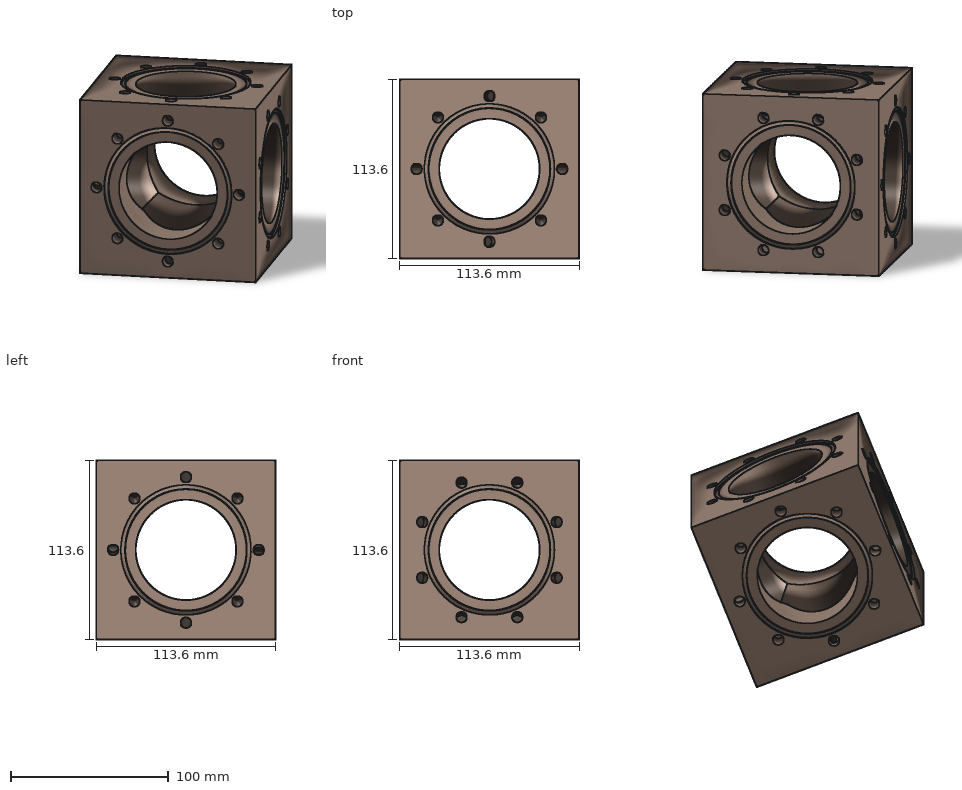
import cadquery as cq
import math


ORIGIN = (0, 0, 0)
X_AXIS = (1, 0, 0)
Y_AXIS = (0, 1, 0)
Z_AXIS = (0, 0, 1)

cube_side = 113.6
face_height = cube_side / 2
bore_radius = 63.5 / 2
pyramid_base_height = 20.0

recess_radius = 82.5 / 2
knife_radius = 77.4 / 2
knife_root_radius = 76.7 / 2
recess_depth = 1.63
knife_tip_depth = 0.75
seat_depth = 1.22

bolt_count = 8
bolt_pitch = 360 / bolt_count
bolt_circle_radius = 92.2 / 2
bolt_radius = 6.8 / 2
bolt_depth = 14.0
drill_point_angle = 118.0

pocket_count = 4
pocket_pitch = 360 / pocket_count
pocket_radius = bolt_radius
pocket_offset = 1.95
pocket_flat_offset = 2.6
pocket_end_margin = 1.0
pocket_end_height = bolt_circle_radius + pocket_radius + pocket_end_margin
pocket_length = 2 * (pocket_radius + pocket_end_margin)


def revolve_about_z(points):
    """Solid of revolution from (radius, height) points."""
    return cq.Workplane("XZ").polyline(points).close().revolve(360, (0, 0), (0, 1))


def pyramid_block():
    """Square pyramid with 45 degree sides, widening up to the flange face."""
    return (
        cq.Workplane("XY")
        .workplane(offset=pyramid_base_height)
        .rect(2 * pyramid_base_height, 2 * pyramid_base_height)
        .workplane(offset=face_height - pyramid_base_height)
        .rect(cube_side, cube_side)
        .loft(ruled=True)
    )


def bore_and_seal():
    """Space inside a flange: bore, flat seat, knife edge and outer recess."""
    seat_height = face_height - seat_depth
    return revolve_about_z([
        (0, face_height),
        (recess_radius, face_height),
        (recess_radius, face_height - recess_depth),
        (knife_radius, face_height - knife_tip_depth),
        (knife_root_radius, seat_height),
        (bore_radius, seat_height),
        (bore_radius, 0),
        (0, 0),
    ])


def bolt_hole():
    """Blind drilled hole with a conical end, on the +X side of the bolt circle."""
    point_length = bolt_radius / math.tan(math.radians(drill_point_angle / 2))
    hole_end = face_height - bolt_depth
    hole = revolve_about_z([
        (0, face_height),
        (bolt_radius, face_height),
        (bolt_radius, hole_end),
        (0, hole_end - point_length),
    ])
    return hole.translate((bolt_circle_radius, 0, 0))


def mitre_pocket():
    """Round pocket with one flat side, open only to the +X mitre face."""
    flat_reach = pocket_offset + pocket_radius - pocket_flat_offset
    pocket = (
        cq.Workplane("XY")
        .workplane(offset=pocket_end_height)
        .center(bolt_circle_radius, pocket_offset)
        .circle(pocket_radius)
        .extrude(-pocket_length)
    )
    beyond_flat = (
        cq.Workplane("XY")
        .workplane(offset=pocket_end_height)
        .center(bolt_circle_radius, pocket_flat_offset + flat_reach / 2)
        .rect(2 * pocket_radius, flat_reach)
        .extrude(-pocket_length)
    )
    return pocket.cut(beyond_flat)


def flange(first_bolt_angle):
    """One flange facing +Z."""
    body = pyramid_block().cut(bore_and_seal())
    for i in range(bolt_count):
        body = body.cut(bolt_hole().rotate(ORIGIN, Z_AXIS, first_bolt_angle + i * bolt_pitch))
    return body


def flange_with_pockets(first_bolt_angle):
    """One flange facing +Z, with a pocket in each of its four mitre faces."""
    body = flange(first_bolt_angle)
    for i in range(pocket_count):
        body = body.cut(mitre_pocket().rotate(ORIGIN, Z_AXIS, i * pocket_pitch))
    return body


straight_flange = flange(0)
straight_flanges = [straight_flange.rotate(ORIGIN, Y_AXIS, angle) for angle in (0, 90, 180, 270)]

turned_flange = flange_with_pockets(bolt_pitch / 2)
turned_flanges = [turned_flange.rotate(ORIGIN, X_AXIS, angle) for angle in (90, 270)]

result = cq.Compound.makeCompound([body.solids().val() for body in straight_flanges + turned_flanges])